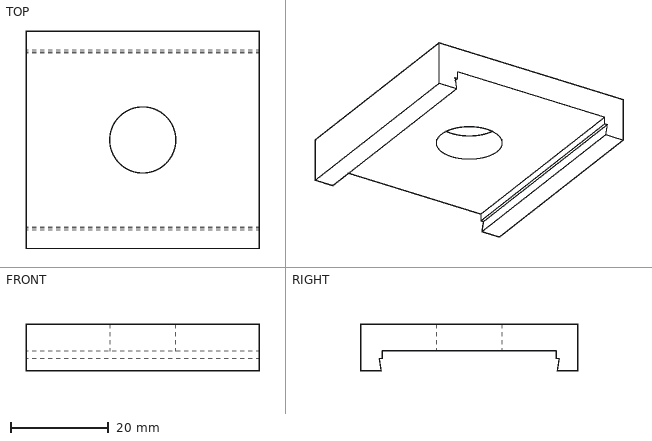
import cadquery as cq

length = 47.6
width = 44.45
height = 9.52

plate_thickness = 5.5
channel_wall = 4.5
step_height = 2.5
undercut_wall = 3.85
lip_wall = 4.25

hole_diameter = 13.5


def channel_cutter():
    """Symmetric channel with an undercut on each side wall."""
    half_width = width / 2
    ceiling = height - plate_thickness
    half_outline = [
        (half_width - lip_wall, 0),
        (half_width - undercut_wall, step_height),
        (half_width - channel_wall, step_height),
        (half_width - channel_wall, ceiling),
    ]
    mirrored_outline = [(-y, z) for y, z in reversed(half_outline)]
    return (
        cq.Workplane("YZ")
        .polyline(half_outline + mirrored_outline)
        .close()
        .extrude(length / 2, both=True)
    )


block = cq.Workplane("XY").box(length, width, height, centered=(True, True, False))
hole = cq.Workplane("XY").circle(hole_diameter / 2).extrude(height)

result = block.cut(channel_cutter()).cut(hole)